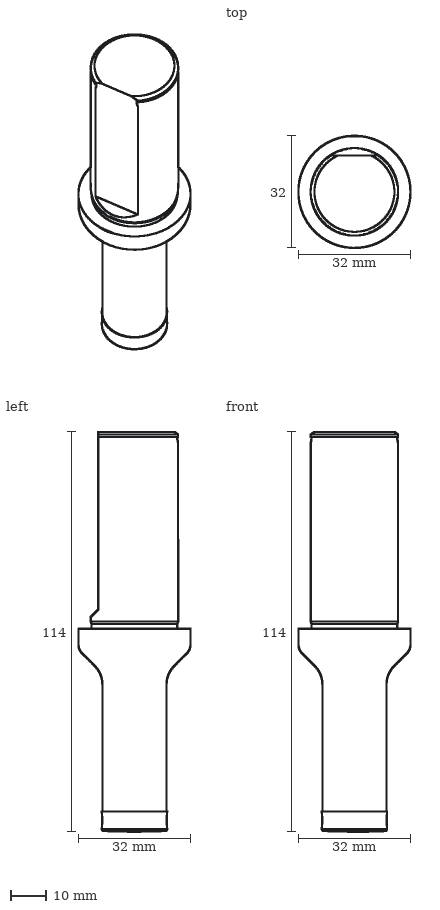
import cadquery as cq
import math

total_height = 114.0

shank_radius = 25.0 / 2
neck_radius = 24.5 / 2
top_face_radius = 11.4
top_chamfer_z = 113.2
groove_top_z = 112.5
groove_floor_z = 111.8
groove_taper_z = 110.8
undercut_top_z = 60.0
undercut_taper = 0.7

flat_y = 10.4
flat_end_z = 63.4
runout_slope = 45.0

collar_radius = 32.0 / 2
collar_top_z = 57.9
collar_edge_z = 53.5
recess_radius = 13.2
recess_floor_radius = 12.8
recess_depth = 0.1
flare_angle = math.radians(45)
rim_arc_radius = 3.8

stem_radius = 18.4 / 2
flare_end_z = 42.1
stem_arc_radius = 7.3
tip_radius = 9.3
tip_waist_radius = 9.2
tip_top_z = 5.8
tip_edge_z = 0.8
tip_chamfer_width = 0.3
tip_chamfer_height = 0.6


def arc_point(center, radius, angle):
    """Point on an arc in the (radius, Z) half plane."""
    return (center[0] + radius * math.cos(angle), center[1] + radius * math.sin(angle))


def revolve_about_z(profile):
    """Turn a closed (radius, Z) profile into a solid of revolution about Z."""
    return profile.close().revolve(360, (0, 0, 0), (0, 1, 0))


def make_turned_holder():
    """Shank, collar, flare and stem as one turned shape."""
    rim_center = (collar_radius - rim_arc_radius, collar_edge_z)
    stem_center = (stem_radius + stem_arc_radius, flare_end_z)
    recess_floor_z = collar_top_z - recess_depth
    profile = (
        cq.Workplane("XZ")
        .moveTo(0, total_height)
        .lineTo(top_face_radius, total_height)
        .lineTo(shank_radius, top_chamfer_z)
        .lineTo(shank_radius, groove_top_z)
        .lineTo(neck_radius, groove_top_z)
        .lineTo(neck_radius, groove_floor_z)
        .lineTo(shank_radius, groove_taper_z)
        .lineTo(shank_radius, undercut_top_z)
        .lineTo(neck_radius, undercut_top_z - undercut_taper)
        .lineTo(neck_radius, recess_floor_z)
        .lineTo(recess_floor_radius, recess_floor_z)
        .lineTo(recess_radius, collar_top_z)
        .lineTo(collar_radius, collar_top_z)
        .lineTo(collar_radius, collar_edge_z)
        .threePointArc(
            arc_point(rim_center, rim_arc_radius, -flare_angle / 2),
            arc_point(rim_center, rim_arc_radius, -flare_angle),
        )
        .lineTo(*arc_point(stem_center, stem_arc_radius, math.pi - flare_angle))
        .threePointArc(
            arc_point(stem_center, stem_arc_radius, math.pi - flare_angle / 2),
            (stem_radius, flare_end_z),
        )
        .lineTo(stem_radius, tip_top_z)
        .lineTo(0, tip_top_z)
    )
    return revolve_about_z(profile)


def make_flat_cutter():
    """Block that cuts the clamping flat, with a sloped run-out at its lower end."""
    outer_y = collar_radius
    drop = (outer_y - flat_y) * math.tan(math.radians(runout_slope))
    return (
        cq.Workplane("YZ")
        .moveTo(flat_y, total_height)
        .lineTo(outer_y, total_height)
        .lineTo(outer_y, flat_end_z - drop)
        .lineTo(flat_y, flat_end_z)
        .close()
        .extrude(shank_radius, both=True)
    )


def make_tip():
    """Tip disc with a hollow side, a broken lower edge and a shallow domed end."""
    end_radius = tip_radius - tip_chamfer_width
    end_z = tip_edge_z - tip_chamfer_height
    dome_radius = (end_radius**2 + end_z**2) / (2 * end_z)
    mid_radius = end_radius / 2
    mid_z = dome_radius - math.sqrt(dome_radius**2 - mid_radius**2)
    waist_z = (tip_top_z + tip_edge_z) / 2
    profile = (
        cq.Workplane("XZ")
        .moveTo(0, tip_top_z)
        .lineTo(tip_radius, tip_top_z)
        .threePointArc((tip_waist_radius, waist_z), (tip_radius, tip_edge_z))
        .lineTo(end_radius, end_z)
        .threePointArc((mid_radius, mid_z), (0, 0))
    )
    return revolve_about_z(profile)


holder = make_turned_holder().cut(make_flat_cutter())
tip = make_tip()

result = cq.Compound.makeCompound([holder.val(), tip.val()])